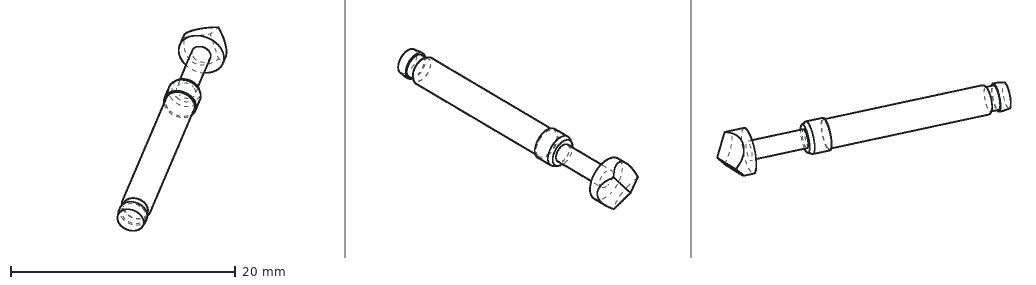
import cadquery as cq
import math


head_diameter = 4.2
plunger_diameter = 1.75
collar_diameter = 3.0
barrel_diameter = 2.7
groove_diameter = 2.25
tail_diameter = 2.6
tail_end_diameter = 2.43

total_length = 27.3
head_length = 3.0
plunger_exposed_length = 5.3
collar_length = 2.0
collar_chamfer_length = 0.4
collar_chamfer_depth = 0.2
barrel_end_length = 0.25
barrel_end_depth = 0.2
barrel_end_bulge = 0.035
groove_length = 0.75
tail_length = 1.0
tail_taper_length = 0.6

facet_count = 3
facet_angle = 45.0

head_base_y = plunger_exposed_length
apex_y = head_base_y + head_length
collar_back_y = -collar_length
tail_end_y = apex_y - total_length
tail_front_y = tail_end_y + tail_length
barrel_back_y = tail_front_y + groove_length


def make_turned_body():
    """Revolve the head blank, plunger, collar, barrel, groove and tail as one profile."""
    head_radius = head_diameter / 2
    plunger_radius = plunger_diameter / 2
    collar_radius = collar_diameter / 2
    barrel_radius = barrel_diameter / 2
    groove_radius = groove_diameter / 2
    tail_radius = tail_diameter / 2
    tail_end_radius = tail_end_diameter / 2

    profile = (
        cq.Workplane("XY")
        .moveTo(0, apex_y)
        .lineTo(head_radius, apex_y)
        .lineTo(head_radius, head_base_y)
        .lineTo(plunger_radius, head_base_y)
        .lineTo(plunger_radius, 0)
        .lineTo(collar_radius - collar_chamfer_depth, 0)
        .lineTo(collar_radius, -collar_chamfer_length)
        .lineTo(collar_radius, collar_back_y)
        .lineTo(barrel_radius, collar_back_y)
        .lineTo(barrel_radius, barrel_back_y + barrel_end_length)
        .sagittaArc((barrel_radius - barrel_end_depth, barrel_back_y), barrel_end_bulge)
        .lineTo(groove_radius, barrel_back_y)
        .lineTo(groove_radius, tail_front_y)
        .lineTo(tail_radius, tail_front_y)
        .lineTo(tail_radius, tail_end_y + tail_taper_length)
        .lineTo(tail_end_radius, tail_end_y)
        .lineTo(0, tail_end_y)
        .close()
    )
    return profile.revolve(360, (0, 0, 0), (0, 1, 0))


def make_facet_cutter(turn_angle):
    """Wedge above one facet plane through the apex, turned about the probe axis."""
    reach = head_diameter
    drop = reach * math.tan(math.radians(facet_angle))
    wedge = (
        cq.Workplane("XY")
        .moveTo(-reach, apex_y + drop)
        .lineTo(reach, apex_y + drop)
        .lineTo(reach, apex_y - drop)
        .close()
        .extrude(reach, both=True)
    )
    return wedge.rotate((0, 0, 0), (0, 1, 0), turn_angle)


result = make_turned_body()
for facet in range(facet_count):
    result = result.cut(make_facet_cutter(facet * 360 / facet_count))